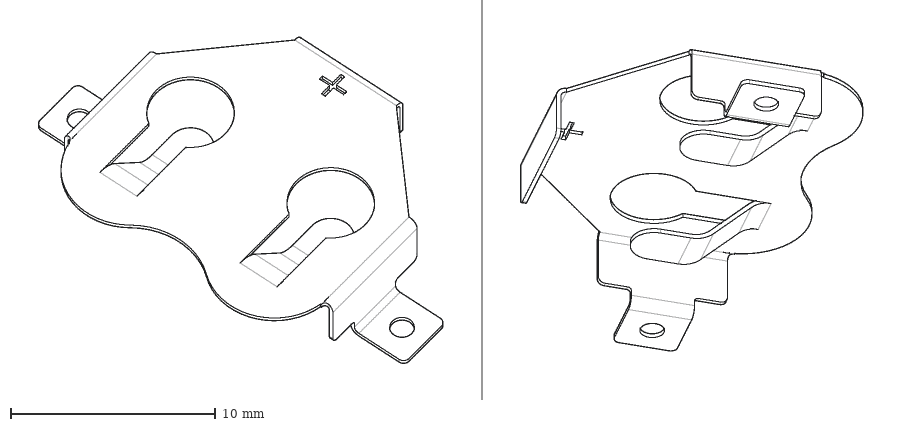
import cadquery as cq
import math


overall_width = 23.2
overall_height = 4.0
thickness = 0.23
bend_inner = 0.28
bend_outer = bend_inner + thickness
corner_radius = 0.35

wall_outer_x = 8.45
wall_width = 6.6
wall_depth = 3.02
foot_width = 3.22
foot_notch_radius = 0.19
foot_hole_diameter = 1.2
foot_hole_x = 10.15
wall_end_round = 0.28

rear_y = 8.7
tab_width = 6.4
tab_depth = 2.8

plate_half_width = wall_outer_x - bend_outer
plate_rear_y = rear_y - bend_outer
plate_front_y = -6.4
lobe_radius = 3.4
valley_y = -4.83

tongue_x = 4.4
tongue_width = 2.32
tongue_root_y = -4.08
tongue_tip_center_y = 1.55
tongue_depth = 3.06
tongue_bend_inner = 1.4
tongue_angle = 45.0
opening_diameter = 4.3

plus_y = 7.22
plus_length = 1.5
plus_width = 0.23


def bent_strip(plane, start, path, width):
    """Sheet strip of the given width, centred on the plane.

    start is on the middle of the sheet, heading along the plane's local x axis.
    path lists ("straight", length) and ("bend", inner radius, signed angle in degrees).
    """
    x, y = start
    heading = 0.0

    def both_sides(px, py, angle):
        dx = -math.sin(angle) * thickness / 2
        dy = math.cos(angle) * thickness / 2
        return (px + dx, py + dy), (px - dx, py - dy)

    stations = [both_sides(x, y, heading)]
    arc_middles = []
    for step in path:
        if step[0] == "straight":
            x += step[1] * math.cos(heading)
            y += step[1] * math.sin(heading)
            arc_middles.append(None)
        else:
            turn = math.radians(step[2])
            radius = math.copysign(step[1] + thickness / 2, turn)
            center_x = x - radius * math.sin(heading)
            center_y = y + radius * math.cos(heading)
            half_way = heading + turn / 2
            heading += turn
            middle_x = center_x + radius * math.sin(half_way)
            middle_y = center_y - radius * math.cos(half_way)
            arc_middles.append(both_sides(middle_x, middle_y, half_way))
            x = center_x + radius * math.sin(heading)
            y = center_y - radius * math.cos(heading)
        stations.append(both_sides(x, y, heading))

    def draw_to(sketch, point, middle, side):
        if middle is None:
            return sketch.lineTo(*point)
        return sketch.threePointArc(middle[side], point)

    sketch = cq.Workplane(plane).moveTo(*stations[0][0])
    for station, middle in zip(stations[1:], arc_middles):
        sketch = draw_to(sketch, station[0], middle, 0)
    sketch = sketch.lineTo(*stations[-1][1])
    for station, middle in zip(stations[-2::-1], arc_middles[::-1]):
        sketch = draw_to(sketch, station[1], middle, 1)
    return sketch.close().extrude(width / 2, both=True)


def make_plate():
    """Flat plate with sloped rear corners and two front lobes joined by a tangent valley arc."""
    lobe_x = plate_half_width - lobe_radius
    lobe_y = plate_front_y + lobe_radius

    rise = lobe_y - valley_y
    valley_radius = (lobe_x**2 + rise**2 - lobe_radius**2) / (2 * (lobe_radius - rise))
    valley_center_y = valley_y - valley_radius
    share = lobe_radius / (lobe_radius + valley_radius)
    join_x = lobe_x * (1 - share)
    join_y = lobe_y + share * (valley_center_y - lobe_y)

    return (
        cq.Workplane("XY")
        .moveTo(-tab_width / 2, plate_rear_y)
        .lineTo(tab_width / 2, plate_rear_y)
        .lineTo(plate_half_width, wall_width / 2)
        .lineTo(plate_half_width, lobe_y)
        .threePointArc((lobe_x, plate_front_y), (join_x, join_y))
        .threePointArc((0, valley_y), (-join_x, join_y))
        .threePointArc((-lobe_x, plate_front_y), (-plate_half_width, lobe_y))
        .lineTo(-plate_half_width, wall_width / 2)
        .close()
        .extrude(-thickness)
    )


def make_tongue_opening():
    """Round opening with a slot running forward to the tongue root, centred on X = 0."""
    slot_length = tongue_tip_center_y - tongue_root_y
    slot_center_y = (tongue_tip_center_y + tongue_root_y) / 2
    slot = cq.Workplane("XY").center(0, slot_center_y).rect(tongue_width, slot_length).extrude(-thickness)
    round_part = cq.Workplane("XY").center(0, tongue_tip_center_y).circle(opening_diameter / 2)
    return round_part.extrude(-thickness).union(slot)


def make_tongue():
    """Spring tongue that slopes down from its root, then runs level to a round tip at X = 0."""
    angle = math.radians(tongue_angle)
    middle_radius = tongue_bend_inner + thickness / 2
    bends_drop = 2 * middle_radius * (1 - math.cos(angle))
    slope_length = (tongue_depth - thickness - bends_drop) / math.sin(angle)
    level_y = tongue_root_y + 2 * middle_radius * math.sin(angle) + slope_length * math.cos(angle)
    tip_y = tongue_tip_center_y + tongue_width / 2
    path = [
        ("bend", tongue_bend_inner, -tongue_angle),
        ("straight", slope_length),
        ("bend", tongue_bend_inner, tongue_angle),
        ("straight", tip_y - level_y),
    ]
    strip = bent_strip("YZ", (tongue_root_y, -thickness / 2), path, tongue_width)
    outline = (
        cq.Workplane("XY")
        .moveTo(-tongue_width / 2, tongue_root_y)
        .lineTo(tongue_width / 2, tongue_root_y)
        .lineTo(tongue_width / 2, tongue_tip_center_y)
        .threePointArc((0, tip_y), (-tongue_width / 2, tongue_tip_center_y))
        .close()
        .extrude(-tongue_depth)
    )
    return strip.intersect(outline)


def make_rear_tab():
    """Tab bent down from the rear edge, with its lower corners rounded."""
    path = [
        ("bend", bend_inner, -90),
        ("straight", tab_depth - bend_outer),
    ]
    tab = bent_strip("YZ", (plate_rear_y, -thickness / 2), path, tab_width)
    return tab.faces("<Z").edges("|Y").fillet(corner_radius)


def make_side_wall():
    """Wall on the +X side with a narrower solder foot bent outward at its lower end."""
    foot_flat_x = wall_outer_x + bend_inner
    path = [
        ("bend", bend_inner, -90),
        ("straight", overall_height - 2 * bend_outer),
        ("bend", bend_inner, 90),
        ("straight", overall_width / 2 - foot_flat_x),
    ]
    strip = bent_strip("XZ", (plate_half_width, -thickness / 2), path, wall_width)

    lower = cq.Workplane("YZ").center(0, -overall_height / 2).rect(foot_width, overall_height)
    upper = cq.Workplane("YZ").center(0, -wall_depth / 2).rect(wall_width, wall_depth)
    upper = upper.extrude(overall_width / 2).faces("<Z").edges("|X").fillet(corner_radius)
    outline = upper.union(lower.extrude(overall_width / 2))
    inner_corners = cq.selectors.BoxSelector(
        (0, -foot_width / 2 - foot_notch_radius, -wall_depth - foot_notch_radius),
        (overall_width, foot_width / 2 + foot_notch_radius, -wall_depth + foot_notch_radius),
    )
    outline = outline.edges("|X").edges(inner_corners).fillet(foot_notch_radius)

    wall = strip.intersect(outline)
    wall = wall.faces(">X").edges("|Z").fillet(corner_radius)
    hole = (
        cq.Workplane("XY", origin=(foot_hole_x, 0, -overall_height))
        .circle(foot_hole_diameter / 2)
        .extrude(thickness)
    )
    return wall.cut(hole)


def make_wall_end_round():
    """Small concave round where the front end of the +X wall bend meets the lobe."""
    end_y = -wall_width / 2
    outer_x = plate_half_width + wall_end_round
    front_y = end_y - wall_end_round
    edge_start = (plate_half_width, -thickness / 2)
    bend = bent_strip("XZ", edge_start, [("bend", bend_inner, -90)], 2 * wall_width)
    inner_x = plate_half_width - wall_end_round
    patch = (
        cq.Workplane("XY")
        .moveTo(inner_x, end_y)
        .lineTo(outer_x, end_y)
        .radiusArc((plate_half_width, front_y), -wall_end_round)
        .lineTo(inner_x, front_y)
        .close()
        .extrude(-overall_height)
    )
    flat = bent_strip("XZ", (0, -thickness / 2), [("straight", plate_half_width)], 2 * wall_width)
    return bend.union(flat).intersect(patch)


def make_plus_cutout():
    """Two crossed bars through the plate near the rear tab."""
    crossbar = cq.Workplane("XY").center(0, plus_y).rect(plus_length, plus_width).extrude(-thickness)
    upright = cq.Workplane("XY").center(0, plus_y).rect(plus_width, plus_length).extrude(-thickness)
    return crossbar.union(upright)


result = make_plate().union(make_rear_tab()).cut(make_plus_cutout())

side = make_side_wall().union(make_wall_end_round())
result = result.union(side).union(side.mirror("YZ"))

for x in (-tongue_x, tongue_x):
    result = result.cut(make_tongue_opening().translate((x, 0, 0)))
    result = result.union(make_tongue().translate((x, 0, 0)))